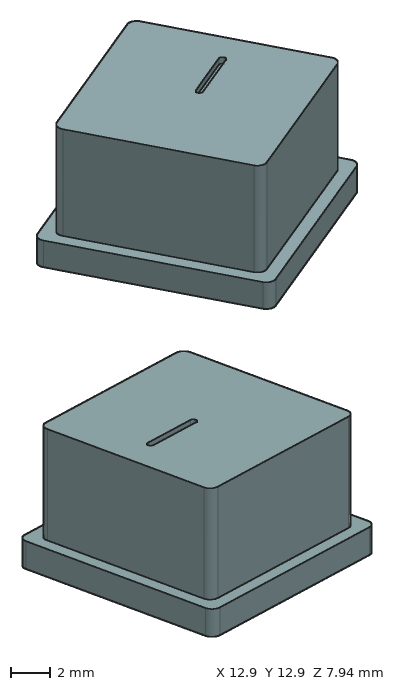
import cadquery as cq

flange_side = 12.95
flange_height = 1.59

cap_side = 11.42
total_height = 7.94

corner_radius = 0.52

slot_width = 0.39
slot_length = 3.78
slot_depth = 0.39
slot_center_x = 0.04
slot_center_y = 1.94


def rounded_block(side, height):
    """Square block standing on the XY plane with rounded vertical edges."""
    return cq.Workplane("XY").rect(side, side).extrude(height).edges("|Z").fillet(corner_radius)


flange = rounded_block(flange_side, flange_height)
cap = rounded_block(cap_side, total_height)

marker_slot = (
    cq.Workplane("XY", origin=(slot_center_x, slot_center_y, total_height))
    .slot2D(slot_length, slot_width, angle=90)
    .extrude(-slot_depth)
)

result = flange.union(cap).cut(marker_slot)